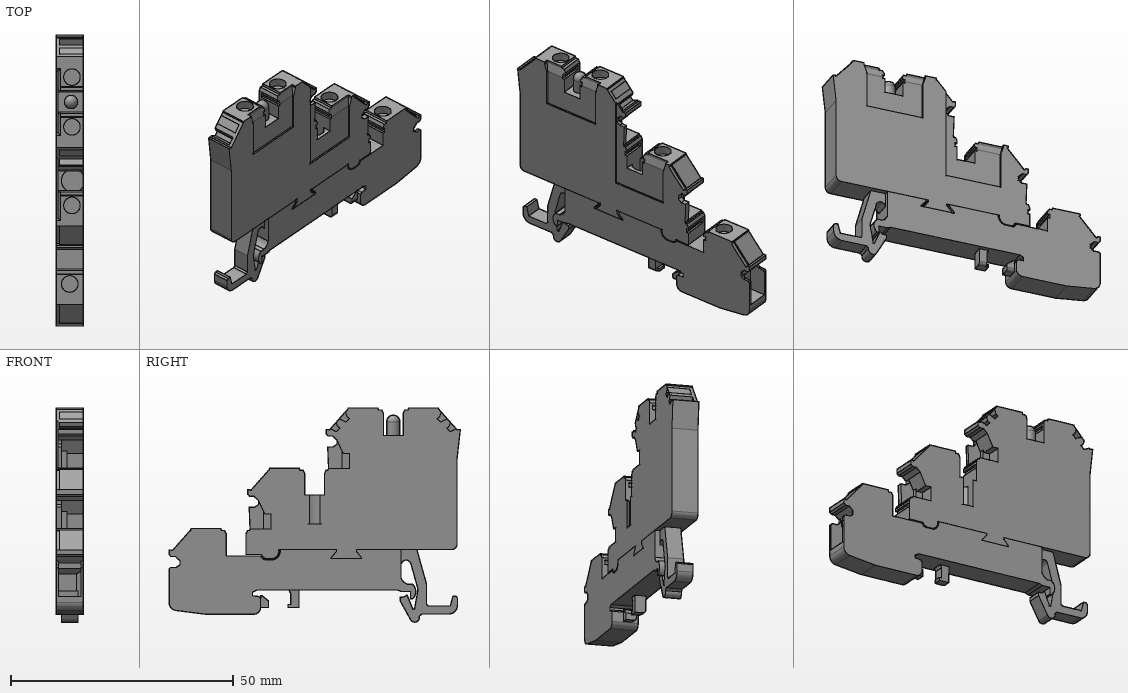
import cadquery as cq

WIDTH = 6.2
FRONT_Y = -32.8
BACK_Y = 32.8

STEP_Y = 17.69
STEP_Z = 13.6
LOW_TIP_Y, LOW_TOP_Z = FRONT_Y, 4.8
MID_TIP_Y, MID_TOP_Z = LOW_TIP_Y + STEP_Y, LOW_TOP_Z + STEP_Z
HIGH_TIP_Y, HIGH_TOP_Z = MID_TIP_Y + STEP_Y, MID_TOP_Z + STEP_Z

SLOT_WALL = 12.95
TOP_BACK = 11.8
TOP_FRONT = 4.9
SLOPE_TOP = (TOP_FRONT - 0.05, -0.3)
SLOPE_FOOT = (0.7, -5.0)
LIP_Z = -4.85
LIP_BOTTOM_Z = -6.4
MOUTH_DEPTH = 2.4
MOUTH_BOTTOM_Z = -8.8
LEDGE_Z = -13.7
LEDGE_LIP_Z = -14.05
LEDGE_SETBACK = 0.5
SILL = 0.4
SLOT_EDGE_Z = -1.25

PIN_Y = (BACK_Y + HIGH_TIP_Y) / 2
HIGH_SLOT_Z = 25.75
MID_SLOT_Z = 12.35
LOW_SLOT_Z = -1.4
WELL_DIAMETER = 3.75
WELL_DEPTH = 2.0
WELL_SETBACK = 9.5
UPPER_WELL_X = 3.58
SNAP_GROOVE = (0.5, 1.0)
SNAP_GROOVE_Z = -2.75
SNAP_GROOVE_END_X = 5.45
PLUG_WELL_RADIUS = 2.6
PLUG_WELL_X = 3.84
PLUG_WELL_DEPTH = 6.55

EDGE_STRIP = 0.82
STRIP_DROP = 0.25
GRIP_COUNT = 2
GRIP_PITCH = 2.15

BACK_WALL_Y = 32.1
BACK_WALL_TOP_Z = 20.6
CORNER_RADIUS = 1.3
UPPER_FRONT_Z = -1.1
SHIELD = 1.25
POCKET_STEP_X = 2.4
POCKET_DEPTH = 5.3
SHALLOW_DEPTH = 3.6
FLANK_DEPTH = 0.4
FLANK_TOP_DEPTH = 1.0
FLANK_FLARE = 0.65
FLANK_FLARE_Z = -2.4
FLANK_FULL_Z = -0.45
FLANK_FLOOR_Z = -11.0
HIGH_RECESS_Y = (10.75, 24.55)
MID_RECESS_Y = (-8.4, 5.05)

DOVETAIL_DEPTH = 2.0
DOVETAIL_Y = 7.12
TONGUE_TOP, TONGUE_BOTTOM = 4.5, 6.8
GROOVE_TOP, GROOVE_BOTTOM = 5.7, 8.15

BASE_BACK_Y = 19.4
RAIL_Z = -9.1
BASE_BOTTOM_Z = -14.6
RAIL_BLOCK_Y = -12.2
BASE_POCKET_X = (0.6, 5.6)
BASE_POCKET_DEPTH = 4.85
BASE_POCKET_CORNER = 1.0

LATCH_X = (1.2, 5.0)
FOOT_X = (1.0, 3.55)
FOOT_BOTTOM_Z = -13.05
FOOT_FLANGE_Z = -12.35
FOOT_ROUND = 0.65
FLANGE_Y = (-6.05, -5.45)

PIN_RADIUS = 1.5
PIN_X = 3.38
PIN_TOP_Z = 30.3


def plate(outline, x_start=0.0, x_end=WIDTH):
    """Extrude a closed YZ wire along X."""
    return outline.extrude(x_end - x_start).translate((x_start, 0, 0))


def prism(points, x_start=0.0, x_end=WIDTH):
    return plate(cq.Workplane("YZ").polyline(points).close(), x_start, x_end)


def block(x_range, y_range, z_range):
    size = [abs(b - a) for a, b in (x_range, y_range, z_range)]
    low = [min(pair) for pair in (x_range, y_range, z_range)]
    return cq.Workplane("XY").box(*size, centered=False).translate(tuple(low))


def shifted(points, tip_y, top_z):
    return [(tip_y + y, top_z + z) for y, z in points]


def mirrored(points):
    """Mirror YZ points about the indicator pin."""
    return [(2 * PIN_Y - y, z) for y, z in points]


CROWN = [
    (SLOT_WALL, SLOT_EDGE_Z),
    (SLOT_WALL - 0.4, -0.45),
    (TOP_BACK, -0.45),
    (TOP_BACK - 0.1, 0),
    (TOP_FRONT, 0),
    SLOPE_TOP,
    SLOPE_FOOT,
    (0.5, LIP_Z),
    (0, LIP_Z),
]

NOTCH = [
    (0, -5.9),
    (0.45, LIP_BOTTOM_Z),
    (1.45, LIP_BOTTOM_Z),
    (MOUTH_DEPTH, -7.3),
    (MOUTH_DEPTH, -8.2),
    (1.6, MOUTH_BOTTOM_Z),
    (0.3, MOUTH_BOTTOM_Z),
]

APRON = [
    (LEDGE_SETBACK, LEDGE_Z),
    (LEDGE_SETBACK - 0.1, LEDGE_LIP_Z),
    (0, LEDGE_LIP_Z),
    (-SILL, SLOT_EDGE_Z - STEP_Z),
]


def screw_well(x, y, top_z):
    well = cq.Workplane("XY").circle(WELL_DIAMETER / 2).extrude(WELL_DEPTH)
    return well.translate((x, y, top_z - WELL_DEPTH))


def snap_groove(wall_y, into, top_z):
    """Groove along a slot wall; `into` is the Y direction into the wall."""
    depth, height = SNAP_GROOVE
    bottom = top_z + SNAP_GROOVE_Z
    return block((0, SNAP_GROOVE_END_X), (wall_y, wall_y + into * depth), (bottom, bottom + height))


def slope_strip(tip_y, top_z):
    """Cutter that lowers the slope along the left flank."""
    lowered = [(y + STRIP_DROP, z - STRIP_DROP) for y, z in (SLOPE_FOOT, SLOPE_TOP)]
    band = [SLOPE_TOP, SLOPE_FOOT] + lowered
    return prism(shifted(band, tip_y, top_z), 0, EDGE_STRIP)


def grip_groove_points(tip_y, top_z):
    """Two undercut grooves across the slope."""
    profile = [(4.35, -0.9), (4.7, -2.05), (5.25, -2.4), (4.45, -3.2), (3.0, -2.5)]
    return [
        shifted([(y - n * GRIP_PITCH, z - n * GRIP_PITCH) for y, z in profile], tip_y, top_z)
        for n in range(GRIP_COUNT)
    ]


def wire_pocket(tip_y, top_z):
    """Wire entry that is open to the front and to the right flank; its left part is shallower."""
    profile = [
        (-0.05, LEDGE_Z),
        (-0.05, LIP_BOTTOM_Z),
        (1.45, LIP_BOTTOM_Z),
        (MOUTH_DEPTH, -7.3),
        (3.9, -10.3),
        (POCKET_DEPTH, -10.3),
        (POCKET_DEPTH, LEDGE_Z),
    ]
    pocket = prism(shifted(profile, tip_y, top_z), SHIELD, WIDTH)
    filler = block(
        (SHIELD, POCKET_STEP_X),
        (tip_y + SHALLOW_DEPTH, tip_y + POCKET_DEPTH),
        (top_z + LEDGE_Z, top_z),
    )
    return pocket.cut(filler)


def flank_recess(y_range, z_range):
    return block((0, FLANK_DEPTH), y_range, z_range)


def flank_flare(y_front, y_back, top_z):
    """Cutter that deepens and widens a flank recess towards the terminal top."""
    flare_z = top_z + FLANK_FLARE_Z
    full_z = top_z + FLANK_FULL_Z
    length = y_back - y_front
    flare = (
        cq.Workplane("XY", origin=(0, (y_front + y_back) / 2, flare_z))
        .rect(2 * FLANK_DEPTH, length)
        .workplane(offset=full_z - flare_z)
        .rect(2 * FLANK_TOP_DEPTH, length + 2 * FLANK_FLARE)
        .loft(ruled=True)
    )
    crest = block((0, FLANK_TOP_DEPTH), (y_front - FLANK_FLARE, y_back + FLANK_FLARE), (full_z, top_z))
    return flare.union(crest)


def dovetail(top_width, bottom_width):
    land = 0.4
    top, bottom = top_width / 2, bottom_width / 2
    return [
        (DOVETAIL_Y + top, 0),
        (DOVETAIL_Y + top, -land),
        (DOVETAIL_Y + bottom, -DOVETAIL_DEPTH + land / 2),
        (DOVETAIL_Y + bottom, -DOVETAIL_DEPTH),
        (DOVETAIL_Y - bottom, -DOVETAIL_DEPTH),
        (DOVETAIL_Y - bottom, -DOVETAIL_DEPTH + land / 2),
        (DOVETAIL_Y - top, -land),
        (DOVETAIL_Y - top, 0),
    ]


def make_upper_housing():
    high_crown = shifted(CROWN, HIGH_TIP_Y, HIGH_TOP_Z)
    high_back = HIGH_TIP_Y + SLOT_WALL
    mid_back = MID_TIP_Y + SLOT_WALL
    rear = [(BACK_WALL_Y, 0), (BACK_WALL_Y, BACK_WALL_TOP_Z)] + mirrored(high_crown[::-1])
    high = [(2 * PIN_Y - high_back, HIGH_SLOT_Z), (high_back, HIGH_SLOT_Z)]
    high += high_crown + shifted(NOTCH + APRON, HIGH_TIP_Y, HIGH_TOP_Z)
    mid = [(HIGH_TIP_Y - SILL, MID_SLOT_Z), (mid_back, MID_SLOT_Z)]
    mid += shifted(CROWN + NOTCH + APRON, MID_TIP_Y, MID_TOP_Z)
    front_y = MID_TIP_Y - SILL
    outline = (
        cq.Workplane("YZ")
        .polyline(rear + high + mid + [(front_y, UPPER_FRONT_Z), (-11.95, UPPER_FRONT_Z)])
        .threePointArc((-11.6, -1.7), (-10.95, -2.05))
        .lineTo(-9.45, -2.05)
        .threePointArc((-8.5, -1.45), (-8.1, 0))
        .close()
    )
    body = plate(outline).edges("|X").edges(
        cq.selectors.NearestToPointSelector((WIDTH / 2, BACK_WALL_Y, 0))
    ).fillet(CORNER_RADIUS)
    body = body.union(prism(dovetail(TONGUE_TOP, TONGUE_BOTTOM)))

    for tip_y, top_z in ((HIGH_TIP_Y, HIGH_TOP_Z), (MID_TIP_Y, MID_TOP_Z)):
        body = body.cut(wire_pocket(tip_y, top_z))
        body = body.cut(screw_well(UPPER_WELL_X, tip_y + WELL_SETBACK, top_z))
    body = body.cut(screw_well(UPPER_WELL_X, 2 * PIN_Y - HIGH_TIP_Y - WELL_SETBACK, HIGH_TOP_Z))

    for wall_y, into, top_z in (
        (2 * PIN_Y - high_back, 1, HIGH_TOP_Z),
        (high_back, -1, HIGH_TOP_Z),
        (HIGH_TIP_Y - SILL, 1, MID_TOP_Z),
        (mid_back, -1, MID_TOP_Z),
        (MID_TIP_Y - SILL, 1, LOW_TOP_Z),
    ):
        body = body.cut(snap_groove(wall_y, into, top_z))

    for groove in grip_groove_points(HIGH_TIP_Y, HIGH_TOP_Z):
        body = body.cut(prism(groove, EDGE_STRIP, WIDTH))
        body = body.cut(prism(mirrored(groove), EDGE_STRIP, WIDTH))
    body = body.cut(slope_strip(MID_TIP_Y, MID_TOP_Z))

    well = (
        cq.Workplane("XY")
        .circle(PLUG_WELL_RADIUS)
        .extrude(PLUG_WELL_DEPTH)
        .translate((PLUG_WELL_X, (HIGH_TIP_Y - SILL + mid_back) / 2, MID_SLOT_Z - PLUG_WELL_DEPTH))
    )
    slot_space = block((0, WIDTH), (mid_back, HIGH_TIP_Y - SILL), (0, MID_SLOT_Z))
    body = body.cut(well.intersect(slot_space))

    high_floor_z = HIGH_TOP_Z + FLANK_FLOOR_Z
    mid_floor_z = MID_TOP_Z + FLANK_FLOOR_Z
    body = body.cut(flank_recess(HIGH_RECESS_Y, (high_floor_z, HIGH_TOP_Z + FLANK_FLARE_Z)))
    body = body.cut(flank_flare(*HIGH_RECESS_Y, HIGH_TOP_Z))
    body = body.cut(flank_recess(MID_RECESS_Y, (mid_floor_z, MID_TOP_Z + FLANK_FLARE_Z)))
    body = body.cut(flank_recess((mid_back, MID_RECESS_Y[1]), (mid_floor_z, HIGH_TOP_Z)))
    flare = flank_flare(*MID_RECESS_Y, MID_TOP_Z)
    terminal_space = block((0, WIDTH), (MID_TIP_Y, mid_back), (0, MID_TOP_Z))
    return body.cut(flare.intersect(terminal_space))


def make_base():
    low_back = LOW_TIP_Y + SLOT_WALL
    terminal = [(low_back, LOW_SLOT_Z)] + shifted(CROWN + NOTCH, LOW_TIP_Y, LOW_TOP_Z)
    outline = (
        cq.Workplane("YZ")
        .moveTo(BASE_BACK_Y, 0)
        .lineTo(-7.8, 0)
        .threePointArc((-8.3, -1.6), (-9.3, -2.2))
        .lineTo(-11.15, -2.2)
        .threePointArc((-11.8, -1.9), (-12.15, LOW_SLOT_Z))
        .polyline(terminal, includeCurrent=True)
        .lineTo(FRONT_Y, -4.35)
        .lineTo(FRONT_Y, -11.9)
        .threePointArc((-32.35, -13.1), (-31.25, -13.7))
        .lineTo(-24.55, BASE_BOTTOM_Z)
        .lineTo(-13.7, BASE_BOTTOM_Z)
        .threePointArc((-12.75, -14.2), (RAIL_BLOCK_Y, -13.25))
        .lineTo(RAIL_BLOCK_Y, -10.9)
        .lineTo(-12.6, -10.5)
        .lineTo(-14.0, -10.4)
        .lineTo(-14.0, -9.6)
        .lineTo(-13.05, RAIL_Z)
        .lineTo(18.7, RAIL_Z)
        .lineTo(19.5, -9.45)
        .lineTo(21.55, -9.45)
        .lineTo(21.55, -11.1)
        .lineTo(22.05, -11.1)
        .threePointArc((22.8, -9.25), (22.0, -7.75))
        .lineTo(20.9, -7.75)
        .threePointArc((20.0, -7.2), (BASE_BACK_Y, -6.3))
        .close()
    )
    body = plate(outline)

    groove = (
        cq.Workplane("YZ")
        .polyline(dovetail(GROOVE_TOP, GROOVE_BOTTOM))
        .close()
        .workplane(offset=WIDTH)
        .polyline(dovetail(TONGUE_TOP, TONGUE_BOTTOM))
        .close()
        .loft(ruled=True)
    )
    body = body.cut(groove)

    profile = [
        (-0.05, -15.35),
        (4.5, -15.35),
        (4.5, -14.1),
        (BASE_POCKET_DEPTH, -14.1),
        (BASE_POCKET_DEPTH, -10.3),
        (2.75, -9.0),
        (2.75, -7.8),
        (MOUTH_DEPTH, -7.3),
        (1.45, LIP_BOTTOM_Z),
        (-0.05, LIP_BOTTOM_Z),
    ]
    pocket = prism(shifted(profile, LOW_TIP_Y, LOW_TOP_Z), *BASE_POCKET_X)
    corner = (
        cq.Workplane("XY", origin=(BASE_POCKET_X[1], LOW_TIP_Y + BASE_POCKET_DEPTH, BASE_BOTTOM_Z))
        .polyline([(0, 0), (-BASE_POCKET_CORNER, 0), (0, -BASE_POCKET_CORNER)])
        .close()
        .extrude(-BASE_BOTTOM_Z)
    )
    body = body.cut(pocket.cut(corner))
    body = body.cut(screw_well(WIDTH / 2, LOW_TIP_Y + WELL_SETBACK, LOW_TOP_Z))
    body = body.cut(snap_groove(low_back, -1, LOW_TOP_Z))
    return body.cut(slope_strip(LOW_TIP_Y, LOW_TOP_Z))


def make_latch():
    outline = (
        cq.Workplane("YZ")
        .moveTo(BASE_BACK_Y, 0)
        .lineTo(23.05, 0)
        .lineTo(25.2, -7.75)
        .lineTo(25.2, -12.3)
        .lineTo(25.6, -12.7)
        .lineTo(30.5, -12.7)
        .lineTo(31.1, -10.45)
        .lineTo(31.8, -10.45)
        .lineTo(32.2, -10.8)
        .lineTo(32.2, -12.6)
        .threePointArc((31.5, -14.0), (30.1, -14.5))
        .lineTo(24.1, -14.5)
        .lineTo(23.6, -15.05)
        .threePointArc((22.45, -16.35), (21.6, -15.8))
        .lineTo(19.25, -11.55)
        .lineTo(19.25, -10.7)
        .lineTo(20.0, -10.65)
        .lineTo(20.8, -10.2)
        .lineTo(22.1, -13.4)
        .lineTo(22.45, -13.4)
        .lineTo(23.2, -9.4)
        .lineTo(23.2, -8.65)
        .lineTo(21.6, -3.0)
        .threePointArc((20.6, -2.35), (19.6, -2.95))
        .lineTo(BASE_BACK_Y, -3.3)
        .close()
    )
    return plate(outline, *LATCH_X)


def make_rail_foot(points):
    foot = prism(points, *FOOT_X)
    return foot.edges("|Y and <X and <Z").fillet(FOOT_ROUND)


INNER_FOOT = [
    (-3.55, RAIL_Z),
    (-5.85, RAIL_Z),
    (FLANGE_Y[1], -9.85),
    (FLANGE_Y[1], FOOT_BOTTOM_Z),
    (-3.55, FOOT_BOTTOM_Z),
]
OUTER_FOOT = [
    (-10.4, FOOT_BOTTOM_Z),
    (-10.4, -11.55),
    (-11.8, -10.4),
    (RAIL_BLOCK_Y, -10.4),
    (RAIL_BLOCK_Y, FOOT_BOTTOM_Z),
]


def make_inner_foot():
    flange_x = (FOOT_X[0] + FOOT_ROUND, FOOT_X[1])
    flange = block(flange_x, FLANGE_Y, (FOOT_BOTTOM_Z, FOOT_FLANGE_Z))
    return make_rail_foot(INNER_FOOT).union(flange)


def make_pin():
    shoulder = PIN_TOP_Z - PIN_RADIUS - HIGH_SLOT_Z
    post = cq.Workplane("XY").circle(PIN_RADIUS).extrude(shoulder)
    dome = cq.Workplane("XY").sphere(PIN_RADIUS).translate((0, 0, shoulder))
    return post.union(dome).translate((PIN_X, PIN_Y, HIGH_SLOT_Z))


upper_housing = make_upper_housing()
base = make_base()
latch = make_latch()
pin = make_pin()
feet = [make_inner_foot(), make_rail_foot(OUTER_FOOT)]

result = cq.Compound.makeCompound(
    [upper_housing.val(), base.val(), latch.val(), pin.val()] + [foot.val() for foot in feet]
)